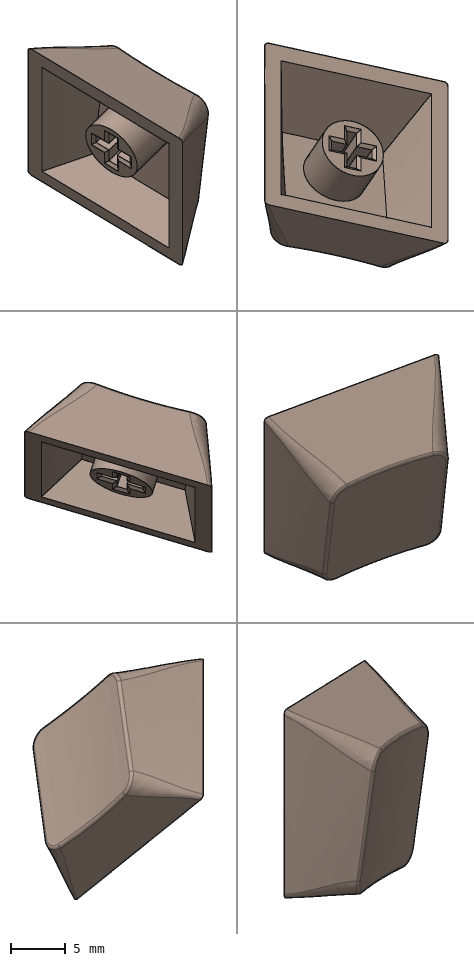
import cadquery as cq
import math


base_half_width = 9.0
base_corner = 0.43
top_half_width = 5.98
top_upper_z = 4.86
top_corner = 1.71
top_upper_y = 8.03
tilt_angle = 8.0
tilt_slope = math.tan(math.radians(tilt_angle))
top_edge_fillet = 0.35
section_count = 5

dish_radius = 45.0
dish_depth = 0.49

cavity_half_width = 7.38
cavity_upper_z = 7.33
cavity_lower_z = -7.52
floor_half_width = 4.97
floor_upper_z = 4.01
floor_lower_y = 4.59

stem_diameter = 6.0
stem_face_y = 0.9
cross_length = 3.96
cross_width = 0.97
mouth_flare = 0.35
mouth_depth = 0.25


def blend(start, end, t):
    """Linear interpolation between two values."""
    return start + (end - start) * t


def tilted_section(half_width, lower_z, upper_z, lower_y, upper_y, corner=0):
    """Rectangle wire, optionally with round corners, tilted about the X axis."""
    rise = upper_y - lower_y
    run = upper_z - lower_z
    plane = cq.Plane(
        origin=(0, (lower_y + upper_y) / 2, (lower_z + upper_z) / 2),
        xDir=(1, 0, 0),
        normal=(0, -run, rise),
    )
    outline = cq.Workplane(plane).rect(2 * half_width, math.hypot(rise, run)).wires().val()
    if corner:
        outline = outline.fillet2D(corner, outline.Vertices())
    return outline


def make_shell():
    """Tapered solid whose corner radius grows smoothly from rim to typing face."""
    top_lower_y = top_upper_y - tilt_slope * (top_upper_z + base_half_width)
    sections = []
    for index in range(section_count):
        t = index / (section_count - 1)
        smooth_t = t * t * (3 - 2 * t)
        sections.append(tilted_section(
            blend(base_half_width, top_half_width, t),
            -base_half_width,
            blend(base_half_width, top_upper_z, t),
            top_lower_y * t,
            top_upper_y * t,
            blend(base_corner, top_corner, smooth_t),
        ))
    return cq.Workplane(cq.Solid.makeLoft(sections))


def make_dish():
    """Cylinder lying along the tilted typing face, sunk into it by dish_depth."""
    tilt = math.radians(tilt_angle)
    axis = cq.Vector(0, math.sin(tilt), math.cos(tilt))
    outward = cq.Vector(0, math.cos(tilt), -math.sin(tilt))
    upper_edge = cq.Vector(0, top_upper_y, top_upper_z)
    length = 4 * base_half_width
    start = upper_edge + outward * (dish_radius - dish_depth) - axis * (length / 2)
    return cq.Workplane(cq.Solid.makeCylinder(dish_radius, length, start, axis))


def make_cavity():
    """Tapered hollow with a floor parallel to the typing face."""
    floor_upper_y = floor_lower_y + tilt_slope * (floor_upper_z - cavity_lower_z)
    opening = tilted_section(cavity_half_width, cavity_lower_z, cavity_upper_z, 0, 0)
    floor = tilted_section(
        floor_half_width, cavity_lower_z, floor_upper_z, floor_lower_y, floor_upper_y)
    return cq.Workplane(cq.Solid.makeLoft([opening, floor], True))


def cross_wire(offset, depth):
    """Cross outline at the given depth below the stem face."""
    long = cross_length / 2 + offset
    short = cross_width / 2 + offset
    points = []
    for sx, sz in ((1, 1), (-1, 1), (-1, -1), (1, -1)):
        corner = [(sx * long, sz * short), (sx * short, sz * short), (sx * short, sz * long)]
        points += corner if sx == sz else corner[::-1]
    y = stem_face_y + depth
    return cq.Wire.makePolygon([cq.Vector(x, y, z) for x, z in points], close=True)


def make_stem():
    """Round stem with a flared cross socket; both run past the cavity floor."""
    length = top_upper_y - stem_face_y
    stem = cq.Solid.makeCylinder(
        stem_diameter / 2, length, cq.Vector(0, stem_face_y, 0), cq.Vector(0, 1, 0))
    socket = cq.Solid.extrudeLinear(cross_wire(0, 0), [], cq.Vector(0, length, 0))
    mouth = cq.Solid.makeLoft([cross_wire(mouth_flare, 0), cross_wire(0, mouth_depth)], True)
    return cq.Workplane(stem).cut(cq.Workplane(socket)).cut(cq.Workplane(mouth))


body = make_shell().cut(make_dish())
body = body.faces("%CYLINDER").edges().fillet(top_edge_fillet)

hollow = make_cavity().cut(make_stem())
result = body.cut(hollow)